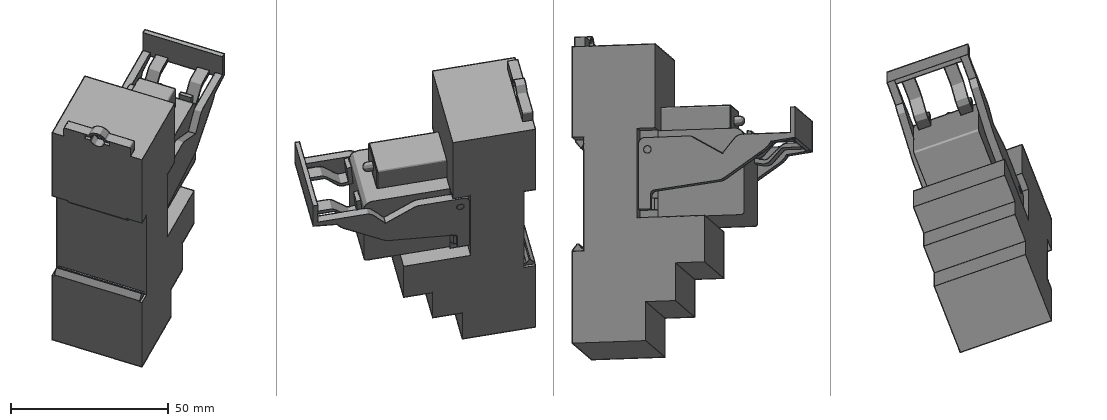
import cadquery as cq
import math


TOTAL_HEIGHT = 101.5
SOCKET_WIDTH = 31.0
SOCKET_HEIGHT = 95.7
FRONT_Y = 26.9
STEPS = [
    (23.9, 12.6),
    (33.5, 24.8),
    (42.9, 39.8),
]
SEAT_Z = STEPS[-1][1]

RECESS_Y = 21.1
RECESS_TOP = 68.6
CORE_WIDTH = 22.3

RAIL_DEPTH = 3.8
RAIL_BOTTOM = 29.7
RAIL_TOP = 66.5
RAIL_MIDDLE = (RAIL_BOTTOM + RAIL_TOP) / 2
LOWER_HOOK_WIDTH = 29.3
UPPER_HOOK_WIDTH = 20.1
HOOK_REACH = 2.4
HOOK_HEEL = 0.5
HOOK_ROOT = 1.0
HOOK_ROOT_Y = 2.8
HOOK_TIP_Y = (1.5, 1.9)

TAB_WIDTH = 23.0
TAB_TOP = 99.6
TAB_THICKNESS = 3.3
TAB_CORNER_RADIUS = 0.6
EYE_OUTER_RADIUS = 3.2
EYE_HOLE_RADIUS = 2.4
EYE_FILLET = 0.6
EYE_Z = TOTAL_HEIGHT - EYE_OUTER_RADIUS
EYE_SLOT_WIDTH = 8.4
EYE_SLOT_HEIGHT = 1.2

PIN_RADIUS = 1.2
PIN_Y = 24.1
PIN_Z = 62.0
CATCH_HEIGHT = 3.8
CATCH_PROTRUSION = 1.0
CATCH_RAMP_Y = 26.0

RELAY_WIDTH = 21.9
RELAY_FRONT = 54.8
RELAY_BOTTOM = 40.4
RELAY_TOP = 68.4
RELAY_TOP_RADIUS = 3.0
RELAY_BOTTOM_RADIUS = 1.0

MODULE_WIDTH = 12.8
MODULE_FRONT = 49.6
MODULE_TOP = 76.8
MODULE_EDGE_RADIUS = 0.6
MODULE_FRONT_CHAMFER = 0.3
LED_RADIUS = 1.5
LED_TIP_Y = 52.8
LED_Z = (RELAY_TOP + MODULE_TOP) / 2

LEVER_WIDTH = 27.4
ARM_THICKNESS = (LEVER_WIDTH - CORE_WIDTH) / 2
LEVER_FRONT = 72.0
GRIP_THICKNESS = 1.5
GRIP_BACK = LEVER_FRONT - GRIP_THICKNESS
GRIP_TOP = 74.1
GRIP_BOTTOM = 64.2
LEVER_TOP = 65.9
FOOT_BOTTOM = 42.8
FOOT_FRONT = 25.1
FOOT_TOP = 48.7
ARM_END_RADIUS = 2.0
FOOT_RADIUS = 1.4
NOTCH_FRONT = (53.3, LEVER_TOP)
NOTCH_BOTTOM = (48.4, 60.0)
NOTCH_BACK = (38.3, LEVER_TOP)
NOTCH_FRONT_RADIUS = 3.6
NOTCH_BACK_RADIUS = 3.0
ELBOW = (48.2, 51.5)
ELBOW_RADIUS = 5.1
HEEL_START = (61.7, 60.6)
HEEL_MIDDLE = (63.0, 61.7)
HEEL_END = (64.1, 63.2)

FINGER_WIDTH = 4.2
FINGER_CENTER_X = 7.1
FINGER_THICKNESS = 1.4
FINGER_BEND = (64.5, LEVER_TOP)
FINGER_BEND_RADIUS = 3.0
FINGER_VALLEY = (58.9, 60.6)
FINGER_VALLEY_RADIUS = 1.6
FINGER_INNER_CORNER = (56.4, 61.0)
FINGER_TIP_FRONT = (56.9, 67.5)
FINGER_TIP_BACK = (55.5, 67.8)
FINGER_HEEL = (54.9, 59.9)
FINGER_LOWER_VALLEY = (59.1, 59.2)
FINGER_LOWER_BEND = (63.9, LEVER_TOP - FINGER_THICKNESS)

PICK_REACH = 0.1


def side_profile():
    """Workplane whose local axes are Y and Z."""
    return cq.Workplane("YZ")


def box(x_size, y_range, z_range, x_center=0.0):
    """A box centred across x_center, between two Y and two Z limits."""
    return cq.Workplane("XY").box(
        x_size, y_range[1] - y_range[0], z_range[1] - z_range[0], centered=(True, False, False)
    ).translate((x_center, y_range[0], z_range[0]))


def edge_along_x(y, z):
    """Selector for the edges that run along X through (y, z)."""
    return cq.selectors.BoxSelector(
        (-SOCKET_WIDTH, y - PICK_REACH, z - PICK_REACH), (SOCKET_WIDTH, y + PICK_REACH, z + PICK_REACH)
    )


def edge_along_y(x, z):
    """Selector for the edges that run along Y through (x, z)."""
    return cq.selectors.BoxSelector(
        (x - PICK_REACH, -LEVER_FRONT, z - PICK_REACH), (x + PICK_REACH, LEVER_FRONT, z + PICK_REACH)
    )


def socket_block():
    outline = [(0, 0)]
    step_bottom = 0
    for step_front, step_top in STEPS:
        outline += [(step_front, step_bottom), (step_front, step_top)]
        step_bottom = step_top
    outline += [
        (FRONT_Y, SEAT_Z),
        (FRONT_Y, SOCKET_HEIGHT),
        (0, SOCKET_HEIGHT),
        (0, RAIL_TOP),
        (RAIL_DEPTH, RAIL_TOP),
        (RAIL_DEPTH, RAIL_BOTTOM),
        (0, RAIL_BOTTOM),
    ]
    return side_profile().polyline(outline).close().extrude(SOCKET_WIDTH / 2, both=True)


def rail_hook(width):
    """Hook at the lower end of the rail channel, pointing up."""
    outline = [
        (0, RAIL_BOTTOM),
        (0, RAIL_BOTTOM + HOOK_HEEL),
        (HOOK_TIP_Y[0], RAIL_BOTTOM + HOOK_REACH),
        (HOOK_TIP_Y[1], RAIL_BOTTOM + HOOK_REACH),
        (HOOK_ROOT_Y, RAIL_BOTTOM + HOOK_ROOT),
        (RAIL_DEPTH, RAIL_BOTTOM + HOOK_ROOT),
        (RAIL_DEPTH, RAIL_BOTTOM),
    ]
    return side_profile().polyline(outline).close().extrude(width / 2, both=True)


def mounting_tab():
    tab = box(TAB_WIDTH, (0, TAB_THICKNESS), (SOCKET_HEIGHT, TAB_TOP))
    tab = tab.edges("|Y and >Z").fillet(TAB_CORNER_RADIUS)
    eye_plane = cq.Workplane("XZ", origin=(0, 0, EYE_Z))
    eye = eye_plane.circle(EYE_OUTER_RADIUS).extrude(-TAB_THICKNESS)
    hole = eye_plane.circle(EYE_HOLE_RADIUS).extrude(-TAB_THICKNESS)
    slot = eye_plane.rect(EYE_SLOT_WIDTH, EYE_SLOT_HEIGHT).extrude(-TAB_THICKNESS)
    eye_meets_tab_x = math.sqrt(EYE_OUTER_RADIUS**2 - (TAB_TOP - EYE_Z) ** 2)
    tab = tab.union(eye)
    for x in (-eye_meets_tab_x, eye_meets_tab_x):
        tab = tab.edges(edge_along_y(x, TAB_TOP)).fillet(EYE_FILLET)
    return tab.cut(hole).cut(slot)


def pivot_pins():
    return side_profile().center(PIN_Y, PIN_Z).circle(PIN_RADIUS).extrude(LEVER_WIDTH / 2, both=True)


def lever_catches():
    """A bar through the core whose ends stand out as ramped catches in front of the lever's feet."""
    core_half = CORE_WIDTH / 2
    catch_half = core_half + CATCH_PROTRUSION
    outline = [
        (-catch_half, FOOT_FRONT),
        (catch_half, FOOT_FRONT),
        (catch_half, CATCH_RAMP_Y),
        (core_half, FRONT_Y),
        (-core_half, FRONT_Y),
        (-catch_half, CATCH_RAMP_Y),
    ]
    return cq.Workplane("XY", origin=(0, 0, FOOT_BOTTOM)).polyline(outline).close().extrude(CATCH_HEIGHT)


def make_socket():
    socket = socket_block()
    flank_depth = (SOCKET_WIDTH - CORE_WIDTH) / 2
    for side in (-1, 1):
        flank_center = side * (CORE_WIDTH + flank_depth) / 2
        socket = socket.cut(box(flank_depth, (RECESS_Y, FRONT_Y), (SEAT_Z, RECESS_TOP), flank_center))
    lower_hook = rail_hook(LOWER_HOOK_WIDTH)
    upper_hook = rail_hook(UPPER_HOOK_WIDTH).mirror("XY", (0, 0, RAIL_MIDDLE))
    socket = socket.union(lower_hook).union(upper_hook)
    socket = socket.union(pivot_pins()).union(lever_catches())
    return socket.union(mounting_tab())


def make_relay():
    relay = box(RELAY_WIDTH, (FRONT_Y, RELAY_FRONT), (RELAY_BOTTOM, RELAY_TOP))
    relay = relay.edges(edge_along_x(RELAY_FRONT, RELAY_TOP)).fillet(RELAY_TOP_RADIUS)
    return relay.edges(edge_along_x(RELAY_FRONT, RELAY_BOTTOM)).fillet(RELAY_BOTTOM_RADIUS)


def make_module():
    module = box(MODULE_WIDTH, (FRONT_Y, MODULE_FRONT), (RELAY_TOP, MODULE_TOP))
    module = module.edges("|Y").fillet(MODULE_EDGE_RADIUS)
    module = module.faces(">Y").chamfer(MODULE_FRONT_CHAMFER)
    dome_center_y = LED_TIP_Y - LED_RADIUS
    led_plane = cq.Workplane("XZ", origin=(0, dome_center_y, LED_Z))
    stem = led_plane.circle(LED_RADIUS).extrude(dome_center_y - MODULE_FRONT)
    dome = cq.Workplane("XY").sphere(LED_RADIUS).translate((0, dome_center_y, LED_Z))
    return module.union(stem).union(dome)


def lever_arm(inner_x):
    arm = (
        side_profile().workplane(offset=inner_x)
        .moveTo(RECESS_Y, FOOT_BOTTOM)
        .lineTo(FOOT_FRONT, FOOT_BOTTOM)
        .lineTo(FOOT_FRONT, FOOT_TOP)
        .lineTo(*ELBOW)
        .lineTo(*HEEL_START)
        .threePointArc(HEEL_MIDDLE, HEEL_END)
        .lineTo(LEVER_FRONT, GRIP_BOTTOM)
        .lineTo(LEVER_FRONT, LEVER_TOP)
        .lineTo(*NOTCH_FRONT)
        .lineTo(*NOTCH_BOTTOM)
        .lineTo(*NOTCH_BACK)
        .lineTo(RECESS_Y, LEVER_TOP)
        .close()
        .extrude(ARM_THICKNESS)
    )
    rounded_corners = [
        (NOTCH_FRONT, NOTCH_FRONT_RADIUS),
        (NOTCH_BACK, NOTCH_BACK_RADIUS),
        (ELBOW, ELBOW_RADIUS),
        ((FOOT_FRONT, FOOT_TOP), FOOT_RADIUS),
        ((RECESS_Y, LEVER_TOP), ARM_END_RADIUS),
    ]
    for corner, radius in rounded_corners:
        arm = arm.edges(edge_along_x(*corner)).fillet(radius)
    return arm


def spring_finger(center_x):
    finger = (
        side_profile().workplane(offset=center_x - FINGER_WIDTH / 2)
        .moveTo(GRIP_BACK, LEVER_TOP)
        .lineTo(*FINGER_BEND)
        .lineTo(*FINGER_VALLEY)
        .lineTo(*FINGER_INNER_CORNER)
        .lineTo(*FINGER_TIP_FRONT)
        .lineTo(*FINGER_TIP_BACK)
        .lineTo(*FINGER_HEEL)
        .lineTo(*FINGER_LOWER_VALLEY)
        .lineTo(*FINGER_LOWER_BEND)
        .lineTo(GRIP_BACK, LEVER_TOP - FINGER_THICKNESS)
        .close()
        .extrude(FINGER_WIDTH)
    )
    rounded_corners = [
        (FINGER_BEND, FINGER_BEND_RADIUS),
        (FINGER_LOWER_BEND, FINGER_BEND_RADIUS - FINGER_THICKNESS),
        (FINGER_VALLEY, FINGER_VALLEY_RADIUS),
        (FINGER_LOWER_VALLEY, FINGER_VALLEY_RADIUS + FINGER_THICKNESS),
    ]
    for corner, radius in rounded_corners:
        finger = finger.edges(edge_along_x(*corner)).fillet(radius)
    return finger


def make_lever():
    lever = box(LEVER_WIDTH, (GRIP_BACK, LEVER_FRONT), (GRIP_BOTTOM, GRIP_TOP))
    for arm_inner_x in (-LEVER_WIDTH / 2, CORE_WIDTH / 2):
        lever = lever.union(lever_arm(arm_inner_x))
    for finger_x in (-FINGER_CENTER_X, FINGER_CENTER_X):
        lever = lever.union(spring_finger(finger_x))
    return lever.cut(pivot_pins())


socket = make_socket()
relay = make_relay()
module = make_module()
lever = make_lever()

result = cq.Compound.makeCompound([socket.val(), relay.val(), module.val(), lever.val()])